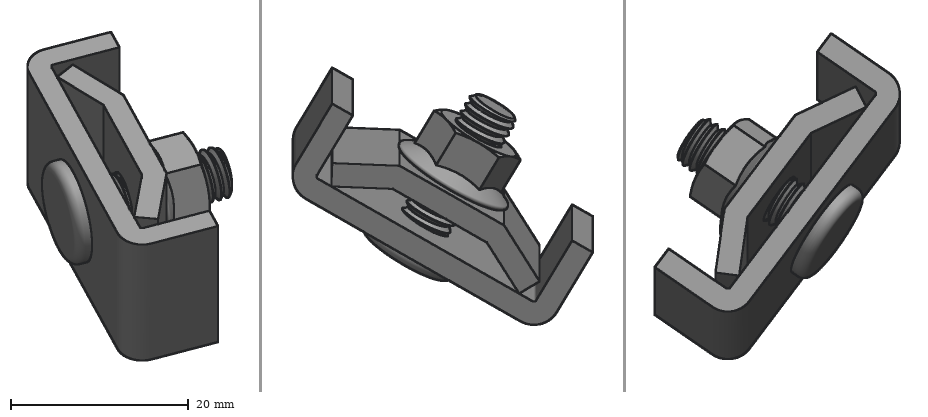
import cadquery as cq
import math


sheet = 2.7
channel_width = 34.0
channel_depth = 11.0
part_height = 18.0
outer_bend = 3.0
inner_bend = outer_bend - sheet

bolt_radius = 3.0
bolt_tip = 18.2
head_radius = 6.0
head_height = 1.8
head_round = 1.0
tip_chamfer = 0.4

pitch = 1.0
thread_depth = 0.55
crest_flat = 0.06
groove_overshoot = 0.02
thread_start = 1.2

clamp_height = part_height
clamp_underside = 5.95
clamp_flat_half = 6.14
arm_angle = math.radians(28)

nut_seat = clamp_underside + sheet
nut_height = 5.95
nut_flats = 9.78
nut_corners = nut_flats / math.cos(math.pi / 6)
nut_chamfer_angle = math.radians(22)
flange_radius = 7.1
flange_edge_round = 0.3
flange_slope = math.radians(30)


def along_y(start):
    """Workplane normal to +Y at the given Y."""
    return cq.Workplane("XZ", origin=(0, start, 0)).transformed(rotate=(180, 0, 0))


def bolt_hole(body):
    """Cut the hole for the bolt shank right through a body."""
    shank_space = along_y(0).circle(bolt_radius).extrude(bolt_tip)
    return body.cut(shank_space)


def make_channel():
    outside = (
        cq.Workplane("XY")
        .box(channel_width, channel_depth, part_height, centered=(True, False, True))
        .edges("|Z and <Y")
        .fillet(outer_bend)
    )
    inside = (
        cq.Workplane("XY", origin=(0, sheet, 0))
        .box(channel_width - 2 * sheet, channel_depth, part_height, centered=(True, False, True))
        .edges("|Z and <Y")
        .fillet(inner_bend)
    )
    return bolt_hole(outside.cut(inside))


def make_clamp():
    arm_drop = clamp_underside - sheet
    toe_x = clamp_flat_half + arm_drop / math.tan(arm_angle)
    toe_y = sheet
    end_x = toe_x + sheet * math.sin(arm_angle)
    end_y = toe_y + sheet * math.cos(arm_angle)
    upper_flat_half = clamp_flat_half + sheet * math.tan(arm_angle / 2)
    right_side = [
        (clamp_flat_half, clamp_underside),
        (toe_x, toe_y),
        (end_x, end_y),
        (upper_flat_half, nut_seat),
    ]
    left_side = [(-x, y) for x, y in reversed(right_side)]
    outline = cq.Workplane("XY").polyline(right_side + left_side).close()
    bar = outline.extrude(clamp_height / 2, both=True)
    return bolt_hole(bar)


def make_thread_groove():
    """Helical V-groove around the Y axis, running out past the bolt tip."""
    groove_length = bolt_tip + pitch - thread_start
    mouth_radius = bolt_radius + groove_overshoot
    root_radius = bolt_radius - thread_depth
    flank_ratio = (pitch - crest_flat) / 2 / thread_depth
    half_mouth = flank_ratio * (mouth_radius - root_radius)
    path = cq.Workplane(cq.Wire.makeHelix(pitch, groove_length, bolt_radius))
    groove = (
        cq.Workplane("XZ")
        .moveTo(root_radius, 0)
        .lineTo(mouth_radius, half_mouth)
        .lineTo(mouth_radius, -half_mouth)
        .close()
        .sweep(path, isFrenet=True)
    )
    return groove.rotate((0, 0, 0), (1, 0, 0), -90).translate((0, thread_start, 0))


def make_bolt():
    head = along_y(-head_height).circle(head_radius).extrude(head_height)
    head = head.faces("<Y").edges().fillet(head_round)
    shank = along_y(0).circle(bolt_radius).extrude(bolt_tip).faces(">Y").chamfer(tip_chamfer)
    shank = shank.rotate((0, 0, 0), (0, 1, 0), 180)
    return head.union(shank.cut(make_thread_groove()))


def make_nut():
    top = nut_seat + nut_height

    hexagon = along_y(nut_seat).polygon(6, nut_corners).extrude(nut_height)
    corner_drop = (nut_corners - nut_flats) / 2 * math.tan(nut_chamfer_angle)
    turned_envelope = (
        cq.Workplane("XY")
        .moveTo(0, nut_seat)
        .lineTo(nut_corners / 2, nut_seat)
        .lineTo(nut_corners / 2, top - corner_drop)
        .lineTo(nut_flats / 2, top)
        .lineTo(0, top)
        .close()
        .revolve(360, (0, 0), (0, 1))
    )

    rim_x = flange_radius - flange_edge_round
    rim_y = nut_seat + flange_edge_round
    cone_x = rim_x + flange_edge_round * math.sin(flange_slope)
    cone_y = rim_y + flange_edge_round * math.cos(flange_slope)
    cone_top_y = cone_y + (cone_x - bolt_radius) * math.tan(flange_slope)
    flange = (
        cq.Workplane("XY")
        .moveTo(0, nut_seat)
        .lineTo(rim_x, nut_seat)
        .threePointArc((flange_radius, rim_y), (cone_x, cone_y))
        .lineTo(bolt_radius, cone_top_y)
        .lineTo(0, cone_top_y)
        .close()
        .revolve(360, (0, 0), (0, 1))
    )
    return bolt_hole(hexagon.intersect(turned_envelope).union(flange))


channel = make_channel()
clamp = make_clamp()
bolt = make_bolt()
nut = make_nut()

bodies = [channel, clamp, bolt, nut]
result = cq.Compound.makeCompound([body.solids().val() for body in bodies])